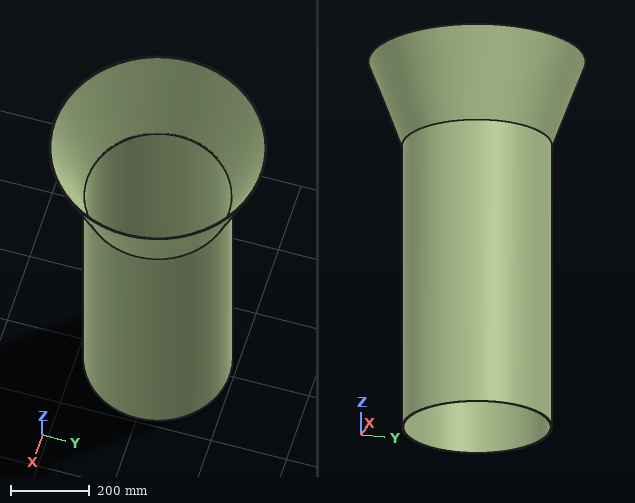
import cadquery as cq

pipe_diameter = 381.0
bore_diameter = 374.0
total_height = 991.0

mouth_diameter = 553.0
flare_height = 228.0

pipe_radius = pipe_diameter / 2
bore_radius = bore_diameter / 2
wall = pipe_radius - bore_radius
mouth_radius = mouth_diameter / 2
flare_base = total_height - flare_height

wall_section = (
    cq.Workplane("XZ")
    .moveTo(bore_radius, 0)
    .lineTo(pipe_radius, 0)
    .lineTo(pipe_radius, flare_base)
    .lineTo(mouth_radius, total_height)
    .lineTo(mouth_radius - wall, total_height)
    .lineTo(bore_radius, flare_base)
    .close()
)

result = wall_section.revolve(360, (0, 0, 0), (0, 1, 0))